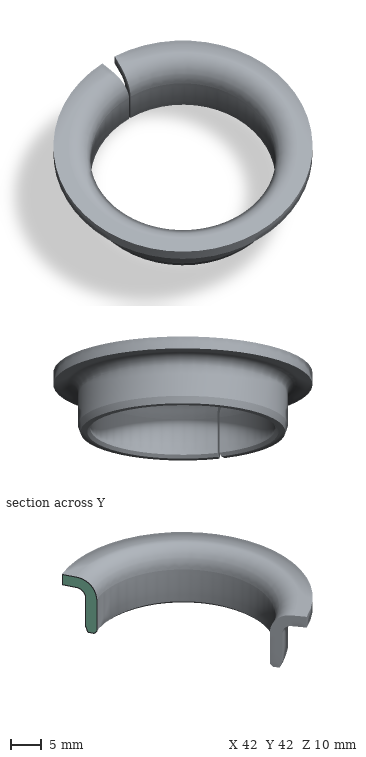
import cadquery as cq
import math

flange_radius = 21.0
height = 10.0
flange_thickness = 2.0
bore_radius = 15.0
wall_thickness = 2.0
sleeve_radius = bore_radius + wall_thickness

flare_radius = 3.53
neck_radius = flare_radius - wall_thickness
flare_centre_r = bore_radius + flare_radius
flare_centre_z = height - flare_radius

chamfer_height = 1.15
chamfer_angle = 20.0
chamfer_width = chamfer_height * math.tan(math.radians(chamfer_angle))

bore_chamfer = 0.5

split_half_angle = 10.0
split_bore_half_width = 0.15
split_overrun = 4.2


def make_ring():
    """Revolve the flanged sleeve section about Z."""
    diagonal = math.sqrt(0.5)
    neck_mid = (
        flare_centre_r - neck_radius * diagonal,
        flare_centre_z + neck_radius * diagonal,
    )
    flare_mid = (
        flare_centre_r - flare_radius * diagonal,
        flare_centre_z + flare_radius * diagonal,
    )
    section = (
        cq.Workplane("XZ")
        .moveTo(bore_radius, bore_chamfer)
        .lineTo(bore_radius + bore_chamfer, 0)
        .lineTo(sleeve_radius - chamfer_width, 0)
        .lineTo(sleeve_radius, chamfer_height)
        .lineTo(sleeve_radius, flare_centre_z)
        .threePointArc(neck_mid, (flare_centre_r, height - flange_thickness))
        .lineTo(flange_radius, height - flange_thickness)
        .lineTo(flange_radius, height)
        .lineTo(flare_centre_r, height)
        .threePointArc(flare_mid, (bore_radius, flare_centre_z))
        .close()
    )
    ring = section.revolve(360, (0, 0, 0), (0, 1, 0))
    return ring.rotate((0, 0, 0), (0, 0, 1), 180)


def make_split():
    """Triangular prism with its apex just inside the bore."""
    slope = math.tan(math.radians(split_half_angle))
    apex_x = -bore_radius + split_bore_half_width / slope
    outer_x = -(flange_radius + split_overrun)
    outer_half_width = (apex_x - outer_x) * slope
    return (
        cq.Workplane("XY")
        .moveTo(apex_x, 0)
        .lineTo(outer_x, outer_half_width)
        .lineTo(outer_x, -outer_half_width)
        .close()
        .extrude(height)
    )


result = make_ring().cut(make_split())